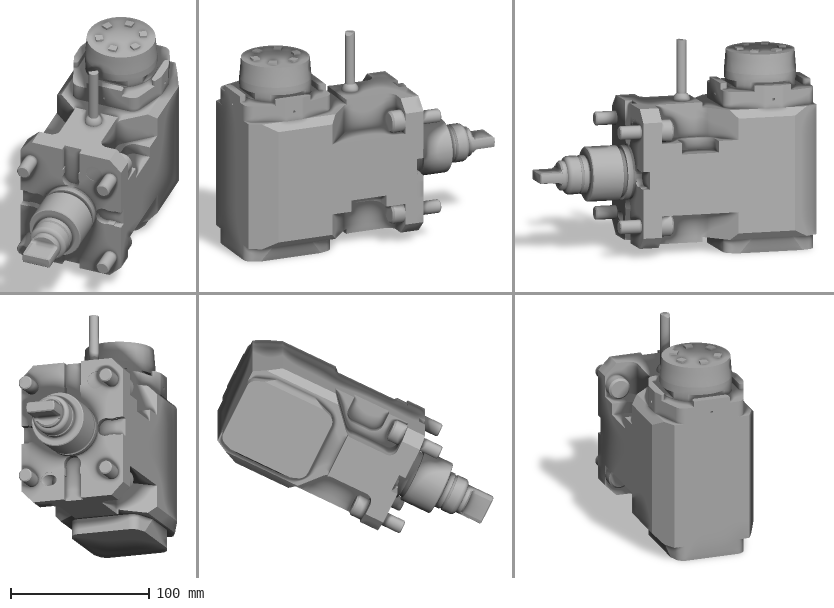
import cadquery as cq
import math


half_width = 39.04
rear_y = 133.8
front_half_height = 51.3
rear_half_height = 47.7
step_y = 51.3
rear_corner = (10.1, 19.3)
side_chamfer = 5.5
flange_thickness = 14.2
flange_chamfer = 9.0

notch_floor = 26.5
web_half_width = 16.2
notch_rear_y = 72.0
notch_bend_y = 51.7
notch_rear_radius = 8.1
notch_front_radius = 6.0
pocket_inner_x = 21.7
pocket_y = (29.2, 57.0)
pocket_depth = 8.5
pocket_radius = 7.7

groove_half_width = 6.6
groove_depth = 5.0
groove_waist_half_width = 5.98
groove_waist_start = 33.3
groove_end_center = 25.5
screw_x = 30.8
screw_z = 34.7
screw_diameter = 10.0
screw_length = 15.8
screw_tip_chamfer = 0.8
screw_head_diameter = 16.0
screw_head_height = 9.5
screw_head_chamfer = 1.5
port_x = 18.0
port_z = 35.9
port_diameter = 12.5
port_recess = 0.2
port_hole_diameter = 8.1
port_hole_depth = 4.5
port_hole_tilt = 45.0
bore_radius = 20.5
bore_depth = 0.8

pilot_radius = 19.3
flange_radius = 19.9
barrel_radius = 19.98
seal_groove_radius = 17.55
neck_radius = 12.47
nose_radius = 14.0
nose_groove_radius = 13.2
collar_radius = 11.0
collar_chamfer = 1.2
spindle_length = 69.0
tang_half_thickness = 3.95
tang_flat_half_width = 8.1
tang_edge_drop = 0.7
tang_root_y = 52.5
tang_root_radius = 1.93
tang_tip_chamfer = 0.8

head_y = 99.88
plate_half_length = rear_y - head_y
plate_half_width = 34.0
plate_flat_half = 6.6
plate_end_half = 24.3
plate_corner_radius = 7.0
plate_side_radius = 6.0
plate_top = 59.6
tab_top = 64.0
tab_half_width = 13.8
tab_inner = 28.5
tab_radius = 2.5
index_hole_diameter = 2.0
index_hole_depth = 2.0
index_hole_z = 54.1
cap_radius = 26.2
cap_top_radius = 25.0
cap_rim_height = 0.6
cap_bottom = 65.0
cap_taper_start = 70.8
cap_top = 85.5
cap_flat_distance = 22.1
key_count = 6
key_height = 1.6
key_inner = 13.4
key_outer = 18.9
key_inner_half_width = 2.6
key_outer_half_width = 3.15

pad_bottom = -58.91
pad_side_top = 31.0
pad_side_bottom = 28.0

tube_x = 2.0
tube_y = 40.0
tube_diameter = 7.0
tube_top = 95.62
tube_dome_radius = 6.3
tube_cut = 2.2
tube_cut_angle = 125.0


def box(x_range, y_range, z_range):
    """Axis-aligned box between pairs of limits."""
    size = [high - low for low, high in (x_range, y_range, z_range)]
    corner = (x_range[0], y_range[0], z_range[0])
    return cq.Workplane("XY").box(*size, centered=False).translate(corner)


def forward_cylinder(x, z, diameter, y_start, y_end):
    """Cylinder along Y running from y_start toward -Y to y_end."""
    plane = cq.Workplane("XZ", origin=(x, y_start, z))
    return plane.circle(diameter / 2).extrude(y_start - y_end)


def housing_blocks():
    front = box((-half_width, half_width), (0, step_y), (-front_half_height, front_half_height))
    flange = (
        cq.Workplane("XZ")
        .rect(2 * half_width, 2 * front_half_height)
        .extrude(-step_y)
        .edges("|Y")
        .chamfer(flange_chamfer)
    )
    rear = box((-half_width, half_width), (step_y, rear_y), (-rear_half_height, rear_half_height))
    rear = rear.edges("|Y").chamfer(side_chamfer)
    corner_x, corner_y = rear_corner
    outline = [
        (-half_width, step_y),
        (half_width, step_y),
        (half_width, rear_y - corner_y),
        (half_width - corner_x, rear_y),
        (corner_x - half_width, rear_y),
        (-half_width, rear_y - corner_y),
    ]
    prism = cq.Workplane("XY").polyline(outline).close().extrude(rear_half_height, both=True)
    return front.intersect(flange).union(rear.intersect(prism))


def side_notch():
    """Upper notch on the +X side."""
    outside = 2 * half_width
    slope = (notch_rear_y - notch_bend_y) / (half_width - web_half_width)
    outside_y = notch_bend_y + slope * (outside - web_half_width)
    outline = [
        (outside, flange_thickness),
        (web_half_width, flange_thickness),
        (web_half_width, notch_bend_y),
        (outside, outside_y),
    ]
    plane = cq.Workplane("XY", origin=(0, 0, notch_floor))
    notch = plane.polyline(outline).close().extrude(front_half_height)
    middle_z = notch_floor + front_half_height / 2
    front_corner = (web_half_width, flange_thickness, middle_z)
    rear_corner_point = (web_half_width, notch_bend_y, middle_z)
    notch = notch.edges(cq.selectors.NearestToPointSelector(front_corner)).fillet(notch_front_radius)
    return notch.edges(cq.selectors.NearestToPointSelector(rear_corner_point)).fillet(notch_rear_radius)


def notch_pocket():
    """Shallow pocket in the floor of the upper +X notch, open to the side."""
    z_range = (notch_floor - pocket_depth, notch_floor)
    pocket = box((pocket_inner_x, 2 * half_width), pocket_y, z_range)
    return pocket.edges("|Z and <X").fillet(pocket_radius)


def turned(shape):
    """Copy turned half a revolution about the spindle axis."""
    return shape.rotate((0, 0, 0), (0, 1, 0), 180)


def cut_notches(body):
    notch = side_notch()
    mirrored = notch.mirror("YZ")
    pocket = notch_pocket()
    for cutter in (notch, mirrored, pocket):
        body = body.cut(cutter).cut(turned(cutter))
    return body


def face_groove():
    """Groove from the spindle upward, with a waist and a rounded inner end."""
    outer = 2 * front_half_height
    y_range = (0, groove_depth)
    wide = box((-groove_half_width, groove_half_width), y_range, (groove_waist_start, outer))
    waist = box(
        (-groove_waist_half_width, groove_waist_half_width),
        y_range,
        (groove_end_center, groove_waist_start),
    )
    end = forward_cylinder(0, groove_end_center, 2 * groove_half_width, groove_depth, 0)
    return wide.union(waist).union(end)


def cut_mounting_face(body):
    groove = face_groove()
    for quarter in range(4):
        body = body.cut(groove.rotate((0, 0, 0), (0, 1, 0), 90 * quarter))
    bore = forward_cylinder(0, 0, 2 * bore_radius, bore_depth, 0)
    body = body.cut(bore)
    recess = forward_cylinder(port_x, port_z, port_diameter, port_recess, 0)
    body = body.cut(recess).cut(turned(recess))
    hole = forward_cylinder(0, 0, port_hole_diameter, port_hole_depth, -2 * port_hole_diameter)
    hole = hole.rotate((0, 0, 0), (0, 0, 1), -port_hole_tilt)
    return body.cut(hole.translate((-port_x, 0, -port_z)))


def screw(x, z):
    shank = forward_cylinder(x, z, screw_diameter, flange_thickness, -screw_length)
    shank = shank.faces("<Y").chamfer(screw_tip_chamfer)
    head_back = flange_thickness + screw_head_height
    head = forward_cylinder(x, z, screw_head_diameter, head_back, flange_thickness)
    head = head.faces(">Y").chamfer(screw_head_chamfer)
    return shank.union(head)


def spindle():
    profile = (
        cq.Workplane("XY")
        .moveTo(0, groove_depth)
        .lineTo(pilot_radius, groove_depth)
        .lineTo(pilot_radius, -0.8)
        .lineTo(flange_radius, -1.6)
        .lineTo(flange_radius, -5.58)
        .lineTo(seal_groove_radius, -5.58)
        .lineTo(seal_groove_radius, -9.0)
        .lineTo(barrel_radius, -9.0)
        .lineTo(barrel_radius, -31.2)
        .lineTo(barrel_radius - 0.6, -31.8)
        .lineTo(neck_radius, -31.8)
        .lineTo(neck_radius, -33.0)
        .lineTo(nose_radius, -33.0)
        .lineTo(nose_radius, -36.7)
        .threePointArc((nose_groove_radius, -37.7), (nose_radius, -38.7))
        .lineTo(nose_radius, -45.5)
        .threePointArc((13.0, -47.5), (collar_radius, -48.5))
        .lineTo(collar_radius, tang_tip_chamfer - spindle_length)
        .lineTo(collar_radius - tang_tip_chamfer, -spindle_length)
        .lineTo(0, -spindle_length)
        .close()
    )
    return profile.revolve(360, (0, 0, 0), (0, 1, 0))


def tang_relief():
    """Material removed above the drive tang, with a rounded root and a chamfered collar."""
    root_top = tang_half_thickness + tang_root_radius
    root_front = -tang_root_y - tang_root_radius
    root_offset = tang_root_radius * (1 - math.sqrt(0.5))
    above = (
        cq.Workplane("YZ")
        .moveTo(-tang_root_y, collar_radius)
        .lineTo(-tang_root_y, root_top)
        .threePointArc(
            (-tang_root_y - root_offset, tang_half_thickness + root_offset),
            (root_front, tang_half_thickness),
        )
        .lineTo(tang_tip_chamfer - spindle_length, tang_half_thickness)
        .lineTo(-spindle_length, tang_half_thickness - tang_tip_chamfer)
        .lineTo(-spindle_length, collar_radius)
        .close()
        .extrude(collar_radius, both=True)
    )
    rim = (
        cq.Workplane("XY")
        .moveTo(collar_radius, collar_chamfer - tang_root_y)
        .lineTo(collar_radius, -tang_root_y)
        .lineTo(collar_radius - collar_chamfer, -tang_root_y)
        .close()
        .revolve(360, (0, 0, 0), (0, 1, 0))
    )
    upper_half = box(
        (-collar_radius, collar_radius),
        (-spindle_length, 0),
        (root_top, 2 * collar_radius),
    )
    above = above.union(rim.intersect(upper_half))
    bevel_outline = [
        (tang_flat_half_width, tang_half_thickness),
        (collar_radius, tang_half_thickness - tang_edge_drop),
        (collar_radius, tang_half_thickness),
    ]
    start = cq.Workplane("XZ", origin=(0, -tang_root_y, 0))
    bevel = start.polyline(bevel_outline).close().extrude(spindle_length - tang_root_y)
    return above.union(bevel).union(bevel.mirror("YZ"))


def plate_prism(bottom, top):
    """Rounded eight-sided prism that carries the head and forms the lower pad."""
    corner = [(plate_end_half, plate_half_length), (plate_half_width, plate_flat_half)]
    outline = corner + [(x, -y) for x, y in reversed(corner)]
    outline += [(-x, -y) for x, y in corner] + [(-x, y) for x, y in reversed(corner)]
    plane = cq.Workplane("XY", origin=(0, head_y, bottom))
    prism = plane.polyline(outline).close().extrude(top - bottom)
    end_limit = cq.selectors.BoxSelector(
        (-plate_half_width - 2, head_y - plate_flat_half - 2, bottom - 2),
        (plate_half_width + 2, head_y + plate_flat_half + 2, top + 2),
    )
    prism = prism.edges("|Z").edges(end_limit).fillet(plate_side_radius)
    for end in ("<Y", ">Y"):
        prism = prism.faces(end).edges("|Z").fillet(plate_corner_radius)
    return prism


def base_plate():
    plate = plate_prism(rear_half_height, plate_top)
    tabs = plate_prism(plate_top, tab_top)
    reach = 2 * plate_half_length
    head_plane = cq.Workplane("XY", origin=(0, head_y, plate_top))
    height = tab_top - plate_top
    for quarter in range(4):
        strip = (
            head_plane.center((tab_inner + reach) / 2, 0)
            .rect(reach - tab_inner, 2 * tab_half_width)
            .extrude(height)
            .edges("|Z and <X")
            .fillet(tab_radius)
            .rotate((0, head_y, 0), (0, head_y, 1), 90 * quarter)
        )
        plate = plate.union(strip.intersect(tabs))
    for quarter in range(4):
        half = plate_half_length if quarter % 2 else plate_half_width
        hole = (
            cq.Workplane("YZ", origin=(half - index_hole_depth, head_y, index_hole_z))
            .circle(index_hole_diameter / 2)
            .extrude(2 * index_hole_depth)
            .rotate((0, head_y, 0), (0, head_y, 1), 90 * quarter)
        )
        plate = plate.cut(hole)
    return plate


def cap():
    profile = [
        (0, plate_top),
        (cap_radius, plate_top),
        (cap_radius, cap_taper_start),
        (cap_top_radius, cap_top),
        (0, cap_top),
    ]
    body = (
        cq.Workplane("XZ", origin=(0, head_y, 0))
        .polyline(profile)
        .close()
        .revolve(360, (0, 0, 0), (0, 1, 0))
    )
    flat = box(
        (cap_flat_distance, 2 * cap_radius),
        (head_y - cap_radius, head_y + cap_radius),
        (plate_top + cap_rim_height, cap_bottom),
    )
    key = (
        cq.Workplane("XY", origin=(0, head_y, cap_top))
        .moveTo(-key_inner_half_width, key_inner)
        .lineTo(key_inner_half_width, key_inner)
        .lineTo(key_outer_half_width, key_outer - 0.3)
        .threePointArc((0, key_outer), (-key_outer_half_width, key_outer - 0.3))
        .close()
        .extrude(key_height)
    )
    axis = ((0, head_y, 0), (0, head_y, 1))
    for quarter in range(4):
        body = body.cut(flat.rotate(*axis, 90 * quarter))
    for index in range(key_count):
        body = body.union(key.rotate(*axis, 360 / key_count * index))
    return body


def lower_pad():
    prism = plate_prism(pad_bottom, -rear_half_height)
    section = [
        (-pad_side_top, -rear_half_height),
        (pad_side_top, -rear_half_height),
        (pad_side_bottom, pad_bottom),
        (-pad_side_bottom, pad_bottom),
    ]
    wedge = cq.Workplane("XZ", origin=(0, rear_y, 0)).polyline(section).close().extrude(rear_y)
    return prism.intersect(wedge)


def coolant_tube():
    origin = (tube_x, tube_y, front_half_height)
    radius = tube_diameter / 2
    tube = cq.Workplane("XY", origin=origin).circle(radius).extrude(tube_top - front_half_height)
    slant = [
        (radius - tube_cut, tube_top),
        (radius, tube_top),
        (radius, tube_top - tube_cut),
    ]
    tip = cq.Workplane("XZ").polyline(slant).close().extrude(tube_diameter, both=True)
    tip = tip.rotate((0, 0, 0), (0, 0, 1), tube_cut_angle).translate((tube_x, tube_y, 0))
    dome = cq.Workplane("XY").sphere(tube_dome_radius).translate(origin)
    return tube.cut(tip).union(dome)


body = cut_mounting_face(cut_notches(housing_blocks()))
for x_side in (-1, 1):
    for z_side in (-1, 1):
        body = body.union(screw(x_side * screw_x, z_side * screw_z))

relief = tang_relief()
body = body.union(spindle().cut(relief).cut(turned(relief)))

for addition in (base_plate(), cap(), lower_pad(), coolant_tube()):
    body = body.union(addition)

result = body